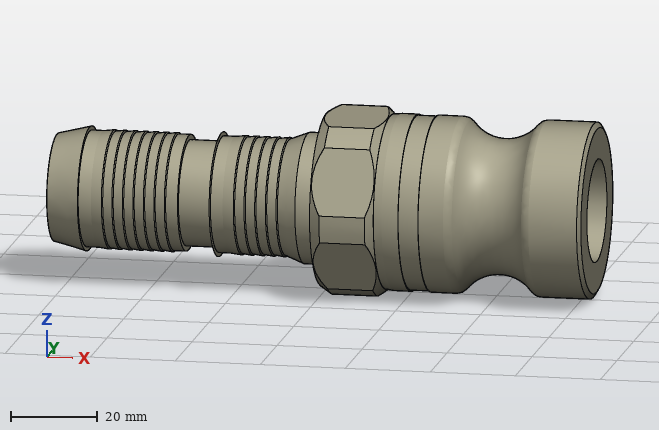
import cadquery as cq
import math

length = 127.0
bore_radius = 24.0 / 2

nose_radius = 12.6
nose_length = 7.6
barb_radius = 14.5
tail_radius = 27.0 / 2
tooth_radius = 13.8
tooth_drop_length = 0.3
front_tooth_start = 10.7
front_tooth_end = 28.0
front_tooth_count = 7
neck_radius = 12.3
neck_start = 31.0
neck_end = 38.6
rim_thickness = 0.1
rear_tooth_start = 41.7
rear_tooth_end = 54.2
rear_tooth_count = 5
collar_radius = 15.2
collar_start = 58.9

nut_start = 63.4
nut_end = 78.4
nut_across_flats = 40.9
nut_corner_radius = 22.0
nut_face_radius = 20.3
front_chamfer_length = 2.5
rear_chamfer_length = 1.8
nut_tilt = 36.0

body_radius = 41.0 / 2
relief_radius = 40.5 / 2
front_band_start = 80.4
front_band_end = 84.2
rear_band_start = 88.9

groove_center = 104.9
groove_floor_radius = 15.7
groove_arc_radius = 10.5
groove_edge_fillet = 2.4
end_chamfer_length = 0.8
end_chamfer_depth = 1.3


def teeth(start, end, count):
    """Profile points of sawtooth ridges that rise gently and drop steeply."""
    pitch = (end - start) / count
    points = [(start, tail_radius)]
    for index in range(1, count + 1):
        peak = start + index * pitch
        points.append((peak, tooth_radius))
        points.append((peak + tooth_drop_length, tail_radius))
    return points


def revolve_profile(points):
    """Solid of revolution about X below an outline of (x, radius) points."""
    outline = [(points[0][0], 0)] + points + [(points[-1][0], 0)]
    return cq.Workplane("XY").polyline(outline).close().revolve(360, (0, 0, 0), (1, 0, 0))


def make_tail():
    profile = [(0, nose_radius), (nose_length, barb_radius), (nose_length, tail_radius)]
    profile += teeth(front_tooth_start, front_tooth_end, front_tooth_count)
    profile += [
        (neck_start, tail_radius),
        (neck_start, neck_radius),
        (neck_end, neck_radius),
        (neck_end, barb_radius),
        (neck_end + rim_thickness, tail_radius),
    ]
    profile += teeth(rear_tooth_start, rear_tooth_end, rear_tooth_count)
    profile += [(collar_start, collar_radius), (nut_end, collar_radius)]
    return revolve_profile(profile)


def make_nut():
    hexagon = (
        cq.Workplane("YZ", origin=(nut_start, 0, 0))
        .polygon(6, nut_across_flats, circumscribed=True)
        .extrude(nut_end - nut_start)
        .rotate((0, 0, 0), (1, 0, 0), nut_tilt)
    )
    envelope = revolve_profile([
        (nut_start, nut_face_radius),
        (nut_start + front_chamfer_length, nut_corner_radius),
        (nut_end - rear_chamfer_length, nut_corner_radius),
        (nut_end, nut_face_radius),
    ])
    return hexagon.intersect(envelope)


def make_body():
    arc_center_radius = groove_floor_radius + groove_arc_radius
    groove_half_width = math.sqrt(groove_arc_radius**2 - (arc_center_radius - body_radius) ** 2)
    body = (
        cq.Workplane("XY")
        .moveTo(nut_end, 0)
        .lineTo(nut_end, relief_radius)
        .lineTo(front_band_start, body_radius)
        .lineTo(front_band_end, body_radius)
        .lineTo(front_band_end, relief_radius)
        .lineTo(rear_band_start, relief_radius)
        .lineTo(rear_band_start, body_radius)
        .lineTo(groove_center - groove_half_width, body_radius)
        .threePointArc(
            (groove_center, groove_floor_radius),
            (groove_center + groove_half_width, body_radius),
        )
        .lineTo(length - end_chamfer_length, body_radius)
        .lineTo(length, body_radius - end_chamfer_depth)
        .lineTo(length, 0)
        .close()
        .revolve(360, (0, 0, 0), (1, 0, 0))
    )
    edge_zone = cq.selectors.BoxSelector(
        (groove_center - groove_arc_radius, -1.3, -1.3),
        (groove_center + groove_arc_radius, 1.3, 1.3),
    )
    return body.edges(edge_zone).edges("%CIRCLE").fillet(groove_edge_fillet)


bore = cq.Workplane("YZ").circle(bore_radius).extrude(length)
result = make_tail().union(make_nut()).union(make_body()).cut(bore)